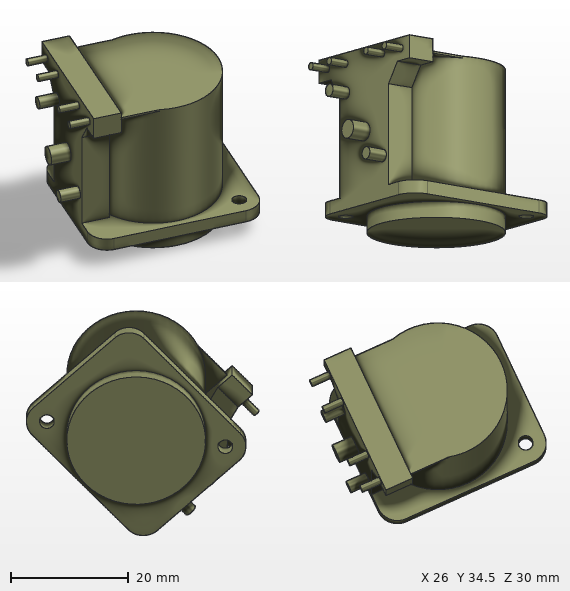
import cadquery as cq

barrel_radius = 11.75
barrel_height = 28.22

flange_width = 26.0
flange_depth = 30.95
flange_bottom = 2.75
flange_thickness = 2.28
flange_corner_radius = 3.52
hole_radius = 1.25
hole_x = 9.5
hole_y = 12.0

lid_width = 22.65
lid_thickness = 0.35

part_height = 30.0
part_depth = 34.5
front_y = -flange_depth / 2
block_depth = 5.0
block_back_y = front_y + block_depth
bar_width = 25.0
bar_height = 4.0
bar_bottom = part_height - bar_height
web_width = 13.5
flare_width = 18.4
flare_height = 3.5

pin_length = part_depth - flange_depth
pin_pitch = 5.07
post_drop = 2.5 * pin_pitch
lower_guide_drop = 3.5 * pin_pitch
contact_z = 28.1
post_radius = 1.62
post_z = contact_z - post_drop
upper_guide_z = contact_z - pin_pitch
lower_guide_z = contact_z - lower_guide_drop
guide_pin_radius = 1.07
contact_pin_radius = 0.62


def make_flange():
    blank = cq.Workplane("XY").workplane(offset=flange_bottom).rect(flange_width, flange_depth)
    return blank.extrude(flange_thickness).edges("|Z").fillet(flange_corner_radius)


def make_mounting_holes():
    centers = [(hole_x, hole_y), (-hole_x, -hole_y)]
    holes = cq.Workplane("XY").workplane(offset=flange_bottom).pushPoints(centers)
    return holes.circle(hole_radius).extrude(flange_thickness)


def make_lid():
    lid_bottom = barrel_height - lid_thickness
    tongue_length = -block_back_y
    lid = cq.Workplane("XY").box(lid_width, tongue_length, lid_thickness, centered=(True, False, False))
    return lid.translate((0, block_back_y, lid_bottom))


def make_terminal_block():
    right_side = [
        (web_width / 2, flange_bottom),
        (web_width / 2, bar_bottom - flare_height),
        (flare_width / 2, bar_bottom),
        (bar_width / 2, bar_bottom),
        (bar_width / 2, part_height),
    ]
    left_side = [(-x, z) for x, z in reversed(right_side)]
    outline = cq.Workplane("XZ", origin=(0, block_back_y, 0)).polyline(right_side + left_side).close()
    return outline.extrude(block_depth)


def make_pins(centers, radius):
    face = cq.Workplane("XZ", origin=(0, front_y, 0))
    return face.pushPoints(centers).circle(radius).extrude(pin_length)


contact_centers = [(step * pin_pitch, contact_z) for step in (-2, -1, 1, 2)]
guide_centers = [
    (-pin_pitch, upper_guide_z),
    (pin_pitch, lower_guide_z),
]

barrel = cq.Workplane("XY").circle(barrel_radius).extrude(barrel_height)
flange = make_flange().cut(make_mounting_holes())

result = (
    flange.union(barrel)
    .union(make_lid())
    .union(make_terminal_block())
    .union(make_pins([(0, post_z)], post_radius))
    .union(make_pins(guide_centers, guide_pin_radius))
    .union(make_pins(contact_centers, contact_pin_radius))
)